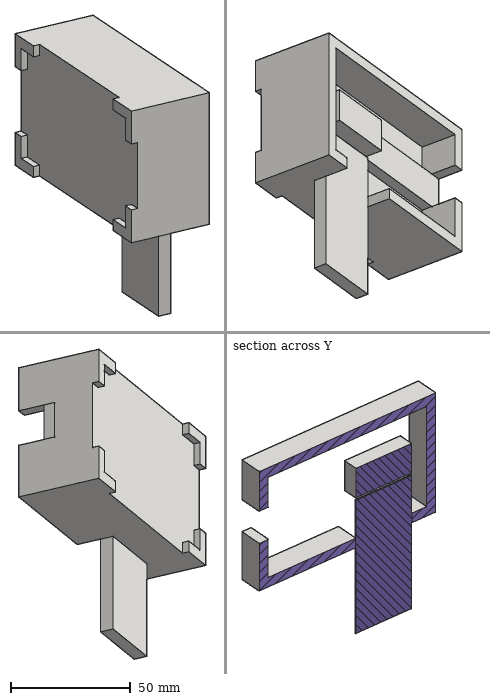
import cadquery as cq

housing_width = 95.0
housing_depth = 38.0
housing_height = 60.0
wall = 5.0
cavity_depth = 17.0

foot_height = 3.0
foot_leg_length = 15.0
foot_leg_width = 5.0

arm_bottom = 24.0
arm_height = 16.0
arm_thickness = 5.0
shank_left = 52.0
shank_width = 30.0
shank_thickness = 6.0
shank_drop = 43.0
block_height = 15.0
block_thickness = 8.0

cavity_floor = housing_depth - cavity_depth
arm_top = arm_bottom + arm_height
shank_right = shank_left + shank_width
arm_back = cavity_floor + arm_thickness


def box_between(low, high):
    """Axis-aligned box spanning two opposite corners."""
    sizes = [end - start for start, end in zip(low, high)]
    return cq.Workplane("XY").box(*sizes, centered=False).translate(low)


def make_foot(at_right, at_top):
    """L-shaped foot on one corner of the front face."""
    leg_along_x = box_between((0, 0, 0), (foot_leg_length, foot_height, foot_leg_width))
    leg_along_z = box_between((0, 0, 0), (foot_leg_width, foot_height, foot_leg_length))
    foot = leg_along_x.union(leg_along_z)
    if at_right:
        foot = foot.mirror("YZ").translate((housing_width, 0, 0))
    if at_top:
        foot = foot.mirror("XY").translate((0, 0, housing_height))
    return foot


def make_housing():
    """Open box with corner feet, a side notch for the arm and a bottom notch for the shank."""
    body = box_between((0, foot_height, 0), (housing_width, housing_depth, housing_height))
    cavity = box_between(
        (wall, cavity_floor, wall),
        (housing_width - wall, housing_depth, housing_height - wall),
    )
    arm_notch = box_between((0, cavity_floor, arm_bottom), (wall, housing_depth, arm_top))
    shank_notch = box_between((shank_left, cavity_floor, 0), (shank_right, housing_depth, wall))
    body = body.cut(cavity).cut(arm_notch).cut(shank_notch)
    for at_right in (False, True):
        for at_top in (False, True):
            body = body.union(make_foot(at_right, at_top))
    return body


def make_slider():
    """Arm flush with the housing side, joined to the shank, with a block raised behind the arm."""
    arm = box_between((0, cavity_floor, arm_bottom), (shank_right, arm_back, arm_top))
    shank = box_between(
        (shank_left, cavity_floor, -shank_drop),
        (shank_right, cavity_floor + shank_thickness, arm_bottom),
    )
    block = box_between(
        (shank_left, arm_back, arm_top - block_height),
        (shank_right, arm_back + block_thickness, arm_top),
    )
    return arm.union(shank).union(block)


housing = make_housing()
slider = make_slider()

result = cq.Compound.makeCompound([housing.val(), slider.val()])